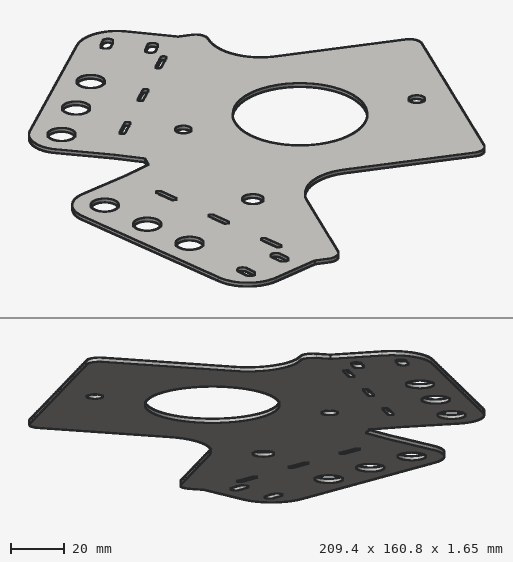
import cadquery as cq
import math

THICKNESS = 1.65
WIDTH = 209.4
HEIGHT = 160.8

HEAD_CENTRE_X = -21.1
HEAD_WIDTH = 94.6
CORNER_RADIUS = 4.8
HEAD_ROOT_RADIUS = 20.0

WING_ANGLE = 30.0
SHOULDER_X = 93.5
SHOULDER_TOP_Y = 85.5
SHOULDER_BOTTOM_Y = 75.2
INNER_TIP_X = 29.5
INNER_TIP_RADIUS = 12.1
OUTER_TIP_RADIUS = 15.5

NOTCH_TOP_Y = 36.6
NOTCH_TOP_HALF_WIDTH = 2.5
NOTCH_BEND = (8.5, 26.4)

BORE_DIAMETER = 50.0
BORE_Y = 101.8
MOUNT_HOLE_DIAMETER = 6.0
MOUNT_HOLE_SPACING = 90.0
SHOULDER_HOLE_DIAMETER = 8.0
SHOULDER_HOLE_CENTRE = (39.8, 66.4)

ROW_COUNT = 3
WING_HOLE_DIAMETER = 10.5
WING_HOLE_PITCH = 22.0
THIN_SLOT_LENGTH = 9.8
THIN_SLOT_WIDTH = 2.0
THIN_SLOT_PITCH = 27.2
FIRST_THIN_SLOT = (28.3, 36.2)
END_SLOT_LENGTH = 8.0
END_SLOT_WIDTH = 4.0
END_SLOT_ANGLE = 27.0
END_SLOT_CENTRES = [(87.5, 63.2), (95.3, 48.2)]


def polar(centre, radius, angle):
    """Point at a distance and an angle in degrees from a centre."""
    turn = math.radians(angle)
    return (centre[0] + radius * math.cos(turn), centre[1] + radius * math.sin(turn))


def tangent_angle(point, centre, radius, side):
    """Angle on a circle where a line from an outside point touches it; side is +1 or -1."""
    dx = point[0] - centre[0]
    dy = point[1] - centre[1]
    towards_point = math.degrees(math.atan2(dy, dx))
    return towards_point + side * math.degrees(math.acos(radius / math.hypot(dx, dy)))


def row_points(start, pitch):
    """Evenly pitched points from start along the wing slope."""
    return [polar(start, i * pitch, WING_ANGLE) for i in range(ROW_COUNT)]


inner_tip = (INNER_TIP_X, INNER_TIP_RADIUS)


def make_wing():
    """Right half of the lower plate, between X = 0 and the outer tip."""
    down_angle = WING_ANGLE - 90.0
    edge_start = polar(inner_tip, INNER_TIP_RADIUS, down_angle)

    outer_x = WIDTH / 2 - OUTER_TIP_RADIUS
    edge_end_x = outer_x + OUTER_TIP_RADIUS * math.cos(math.radians(down_angle))
    edge_length = (edge_end_x - edge_start[0]) / math.cos(math.radians(WING_ANGLE))
    edge_end = polar(edge_start, edge_length, WING_ANGLE)
    outer_tip = polar(edge_end, OUTER_TIP_RADIUS, down_angle + 180.0)

    shoulder_bottom = (SHOULDER_X, SHOULDER_BOTTOM_Y)
    inner_angle = tangent_angle(NOTCH_BEND, inner_tip, INNER_TIP_RADIUS, 1) - 360.0
    outer_angle = tangent_angle(shoulder_bottom, outer_tip, OUTER_TIP_RADIUS, -1)

    return (
        cq.Workplane("XY")
        .moveTo(0, NOTCH_TOP_Y)
        .lineTo(NOTCH_TOP_HALF_WIDTH, NOTCH_TOP_Y)
        .lineTo(*NOTCH_BEND)
        .lineTo(*polar(inner_tip, INNER_TIP_RADIUS, inner_angle))
        .threePointArc(polar(inner_tip, INNER_TIP_RADIUS, (inner_angle + down_angle) / 2), edge_start)
        .lineTo(*edge_end)
        .threePointArc(
            polar(outer_tip, OUTER_TIP_RADIUS, (down_angle + outer_angle) / 2),
            polar(outer_tip, OUTER_TIP_RADIUS, outer_angle),
        )
        .lineTo(*shoulder_bottom)
        .lineTo(SHOULDER_X, SHOULDER_TOP_Y)
        .lineTo(0, SHOULDER_TOP_Y)
        .close()
        .extrude(THICKNESS)
    )


def round_corners(body, corners, radius):
    """Round the upright edges standing at the given XY corners."""
    for x, y in corners:
        edge = cq.selectors.NearestToPointSelector((x, y, THICKNESS / 2))
        body = body.edges("|Z").edges(edge).fillet(radius)
    return body


def make_plate():
    """Outline of the whole plate with its rounded corners."""
    head_left = HEAD_CENTRE_X - HEAD_WIDTH / 2
    head_right = HEAD_CENTRE_X + HEAD_WIDTH / 2
    head = (
        cq.Workplane("XY")
        .moveTo(head_left, SHOULDER_TOP_Y)
        .lineTo(head_right, SHOULDER_TOP_Y)
        .lineTo(head_right, HEIGHT)
        .lineTo(head_left, HEIGHT)
        .close()
        .extrude(THICKNESS)
    )
    wing = make_wing()
    plate = wing.union(wing.mirror("YZ")).union(head).clean()

    head_roots = [(head_left, SHOULDER_TOP_Y), (head_right, SHOULDER_TOP_Y)]
    head_corners = [(head_left, HEIGHT), (head_right, HEIGHT)]
    shoulder_corners = [(-SHOULDER_X, SHOULDER_TOP_Y), (SHOULDER_X, SHOULDER_TOP_Y)]
    plate = round_corners(plate, head_roots, HEAD_ROOT_RADIUS)
    return round_corners(plate, head_corners + shoulder_corners, CORNER_RADIUS)


def round_holes(centres, diameter):
    """Cutters for round through holes."""
    return cq.Workplane("XY").pushPoints(centres).circle(diameter / 2).extrude(THICKNESS)


def slots(centres, length, width, angle):
    """Cutters for round-ended through slots turned by an angle."""
    return cq.Workplane("XY").pushPoints(centres).slot2D(length, width, angle).extrude(THICKNESS)


def wing_cutters():
    """Hole row, thin slot row and end slots of the right wing."""
    hole_row = row_points(inner_tip, WING_HOLE_PITCH)
    slot_row = row_points(FIRST_THIN_SLOT, THIN_SLOT_PITCH)
    return [
        round_holes(hole_row, WING_HOLE_DIAMETER),
        slots(slot_row, THIN_SLOT_LENGTH, THIN_SLOT_WIDTH, WING_ANGLE),
        slots(END_SLOT_CENTRES, END_SLOT_LENGTH, END_SLOT_WIDTH, END_SLOT_ANGLE),
    ]


mount_holes = [
    (HEAD_CENTRE_X, BORE_Y - MOUNT_HOLE_SPACING / 2),
    (HEAD_CENTRE_X, BORE_Y + MOUNT_HOLE_SPACING / 2),
]

result = make_plate()
result = result.cut(round_holes([(HEAD_CENTRE_X, BORE_Y)], BORE_DIAMETER))
result = result.cut(round_holes(mount_holes, MOUNT_HOLE_DIAMETER))
result = result.cut(round_holes([SHOULDER_HOLE_CENTRE], SHOULDER_HOLE_DIAMETER))
for cutter in wing_cutters():
    result = result.cut(cutter).cut(cutter.mirror("YZ"))